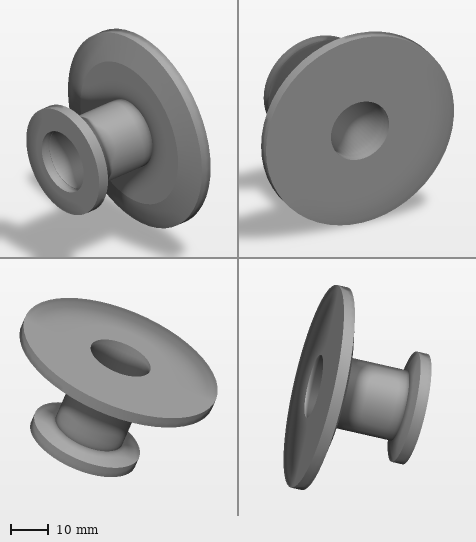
import cadquery as cq

length = 28.0
rim_thickness = 3.0

large_flange_diameter = 55.0
large_cone_diameter = 40.1
large_cone_height = 2.0

small_flange_diameter = 30.0
small_cone_height = 1.5

tube_diameter = 19.1
bore_diameter = 17.0
mouth_diameter = 17.2
mouth_depth = 2.6


def cylinder(diameter, start, height):
    """Cylinder along +Y from the given Y position."""
    plane = cq.Plane(origin=(0, start, 0), xDir=(1, 0, 0), normal=(0, 1, 0))
    return cq.Workplane(plane).circle(diameter / 2).extrude(height)


def turned_body():
    """Solid of revolution about Y: two cone-backed flanges joined by a tube."""
    tube_radius = tube_diameter / 2
    small_radius = small_flange_diameter / 2
    large_radius = large_flange_diameter / 2
    large_rim_start = length - rim_thickness
    large_back = large_rim_start - large_cone_height
    half_profile = [
        (0, 0),
        (small_radius, 0),
        (small_radius, rim_thickness),
        (tube_radius, rim_thickness + small_cone_height),
        (tube_radius, large_back),
        (large_cone_diameter / 2, large_back),
        (large_radius, large_rim_start),
        (large_radius, length),
        (0, length),
    ]
    return cq.Workplane("XY").polyline(half_profile).close().revolve(360, (0, 0, 0), (0, 1, 0))


bore = cylinder(bore_diameter, 0, length)
mouth = cylinder(mouth_diameter, 0, mouth_depth)

result = turned_body().cut(bore).cut(mouth)